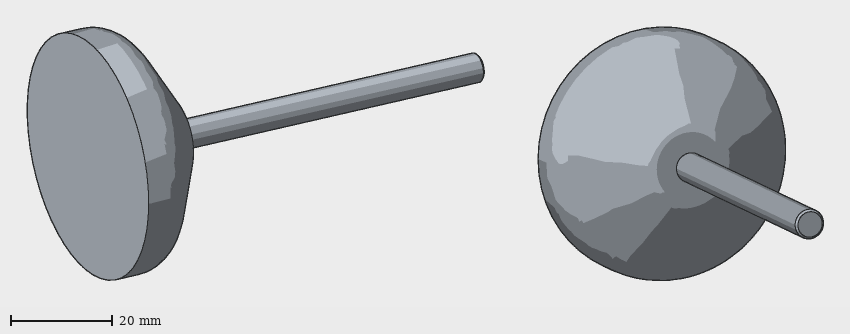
import cadquery as cq

total_length = 88.0
foot_diameter = 50.0
rod_diameter = 6.0

foot_height = 19.5
shoulder_height = 8.2
crown_diameter = 16.0

shoulder_fillet = 6.0
crown_fillet = 3.0
rod_chamfer = 0.4

foot_radius = foot_diameter / 2
crown_radius = crown_diameter / 2
foot_bottom = -total_length / 2


def make_foot():
    """Round foot revolved about Y: a short cylinder topped by a cone."""
    outline = [
        (0, 0),
        (foot_radius, 0),
        (foot_radius, shoulder_height),
        (crown_radius, foot_height),
        (0, foot_height),
    ]
    foot = cq.Workplane("XY").polyline(outline).close().revolve(360, (0, 0), (0, 1))
    foot = foot.faces(">Y").edges().fillet(crown_fillet)
    shoulder_edge = cq.selectors.NearestToPointSelector((0, shoulder_height, 0))
    return foot.edges("%CIRCLE").edges(shoulder_edge).fillet(shoulder_fillet)


def make_rod():
    """Plain rod along Y with a chamfered free end."""
    rod = cq.Workplane("XZ").circle(rod_diameter / 2).extrude(-total_length)
    return rod.faces(">Y").chamfer(rod_chamfer)


result = make_foot().union(make_rod()).translate((0, foot_bottom, 0))